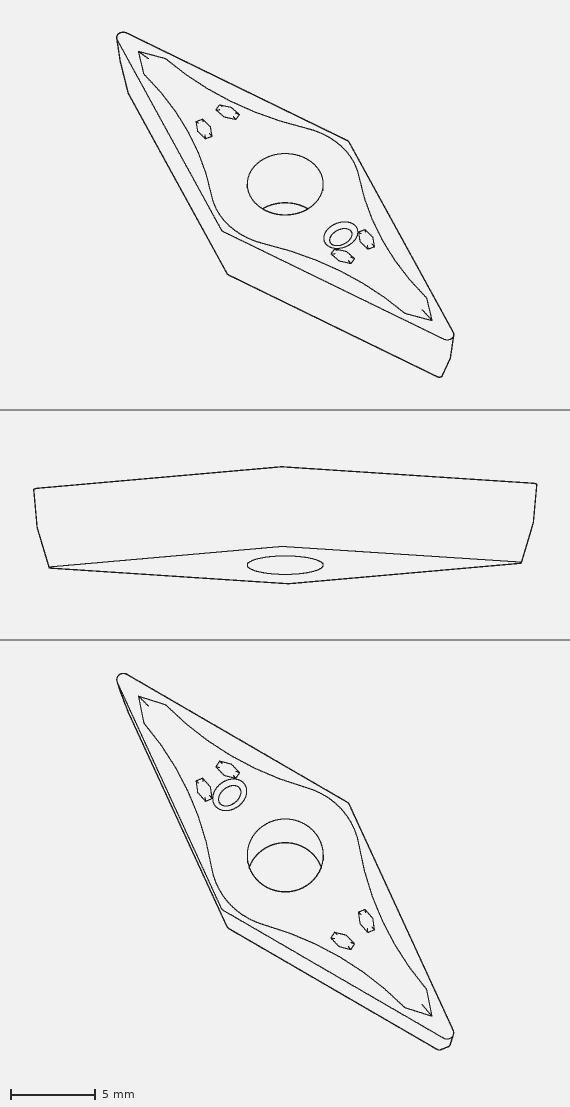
import cadquery as cq
import math


inscribed_circle = 9.525
nose_angle = math.radians(35)
rim_height = 4.7625
clearance_angle = math.radians(5)
corner_radius = 0.398
relief_height = 2.45
hole_diameter = 4.5

plateau_rise = 0.18
plateau_wall_width = 0.43
plateau_edge_radius = 0.25
hub_radius = 4.42
valley_x = -5.9
valley_y = 3.65
tip_distance = 13.16
tip_half_angle = math.radians(30.4)
shoulder_radius = 0.3

overall_height = 5.02
bump_center = (-5.65, 2.76)
bump_half_width = 0.69
bump_side_half_length = 0.21
bump_apex_reach = 0.41
bump_top_scale = 0.68
bump_edge_radius = 0.1

dimple_distance = 4.98
dimple_half_length = 1.10
dimple_half_width = 0.87
dimple_wall_width = 0.35
dimple_depth = 0.2

half_nose = nose_angle / 2
half_nose_deg = math.degrees(half_nose)
plateau_height = rim_height + plateau_rise
long_axis = cq.Vector(math.cos(half_nose), -math.sin(half_nose), 0)
short_axis = cq.Vector(math.sin(half_nose), math.cos(half_nose), 0)


def on_diagonals(along, across, z):
    """Point given along the long diagonal and along the short diagonal."""
    return long_axis * along + short_axis * across + cq.Vector(0, 0, z)


def rounded_rhombus(z, inset, nose_radius):
    """Body section at height z, with every side moved inward by inset."""
    apothem = inscribed_circle / 2 - inset
    half_long = apothem / math.sin(half_nose)
    half_short = apothem / math.cos(half_nose)
    nose_center = half_long - nose_radius / math.sin(half_nose)
    side_center = half_short - corner_radius / math.cos(half_nose)

    def corner(center_along, center_across, radius, direction, half_sweep):
        angles = (direction - half_sweep, direction, direction + half_sweep)
        points = [
            on_diagonals(
                center_along + radius * math.cos(angle),
                center_across + radius * math.sin(angle),
                z,
            )
            for angle in angles
        ]
        return cq.Edge.makeThreePointArc(*points)

    nose_sweep = math.pi / 2 - half_nose
    arcs = [
        corner(nose_center, 0, nose_radius, 0, nose_sweep),
        corner(0, side_center, corner_radius, math.pi / 2, half_nose),
        corner(-nose_center, 0, nose_radius, math.pi, nose_sweep),
        corner(0, -side_center, corner_radius, -math.pi / 2, half_nose),
    ]
    edges = []
    for arc, next_arc in zip(arcs, arcs[1:] + arcs[:1]):
        edges.append(arc)
        edges.append(cq.Edge.makeLine(arc.endPoint(), next_arc.startPoint()))
    return cq.Wire.assembleEdges(edges)


def make_body():
    """Tapered rhombus; the nose is conical above the relief line."""
    relief_inset = (rim_height - relief_height) * math.tan(clearance_angle)
    bottom_inset = rim_height * math.tan(clearance_angle)
    lower_nose_radius = corner_radius - relief_inset
    bottom = rounded_rhombus(0, bottom_inset, lower_nose_radius)
    middle = rounded_rhombus(relief_height, relief_inset, lower_nose_radius)
    top = rounded_rhombus(rim_height, 0, corner_radius)
    lower = cq.Solid.makeLoft([bottom, middle], True)
    upper = cq.Solid.makeLoft([middle, top], True)
    return cq.Workplane(lower).union(cq.Workplane(upper))


def plateau_outline(z, inset):
    """Plateau section: one quarter, mirrored across both diagonals."""
    base_valley_radius = (valley_x**2 + valley_y**2 - hub_radius**2) / (2 * (hub_radius - valley_y))
    valley_center = cq.Vector(valley_x, valley_y + base_valley_radius, 0)
    valley_radius = base_valley_radius + inset
    hub = hub_radius - inset

    tip = long_axis * -(tip_distance - inset / math.sin(tip_half_angle))
    tip_slope = tip_half_angle - half_nose
    tip_direction = cq.Vector(math.cos(tip_slope), math.sin(tip_slope), 0)
    tip_normal = cq.Vector(-math.sin(tip_slope), math.cos(tip_slope), 0)
    line_start = tip - tip_normal * shoulder_radius
    to_valley = valley_center - line_start
    closest = to_valley.dot(tip_direction)
    center_gap = valley_radius + shoulder_radius
    half_chord = math.sqrt(closest**2 - to_valley.Length**2 + center_gap**2)
    shoulder_center = line_start + tip_direction * (closest - half_chord)
    valley_normal = (valley_center - shoulder_center).normalized()
    shoulder_normals = (tip_normal, (tip_normal + valley_normal).normalized(), valley_normal)
    shoulder = [shoulder_center + normal * shoulder_radius for normal in shoulder_normals]

    valley_bottom = valley_center - cq.Vector(0, valley_radius, 0)
    tangent_point = valley_center.normalized() * hub
    crest = cq.Vector(0, hub, 0)
    hub_end = short_axis * hub

    lift = cq.Vector(0, 0, z)
    quarter = [
        cq.Edge.makeLine(tip + lift, shoulder[0] + lift),
        cq.Edge.makeThreePointArc(*[point + lift for point in shoulder]),
        cq.Edge.makeThreePointArc(shoulder[-1] + lift, valley_bottom + lift, tangent_point + lift),
        cq.Edge.makeThreePointArc(tangent_point + lift, crest + lift, hub_end + lift),
    ]

    def flipped(edges, normal):
        def reflect(point):
            return point - normal * (2 * point.dot(normal))

        result_edges = []
        for edge in reversed(edges):
            start = reflect(edge.endPoint())
            end = reflect(edge.startPoint())
            if edge.geomType() == "LINE":
                result_edges.append(cq.Edge.makeLine(start, end))
            else:
                middle = reflect(edge.positionAt(0.5))
                result_edges.append(cq.Edge.makeThreePointArc(start, middle, end))
        return result_edges

    half = quarter + flipped(quarter, long_axis)
    return cq.Wire.assembleEdges(half + flipped(half, short_axis))


def make_plateau():
    """Raised land with sloped walls and a softened upper edge."""
    base = plateau_outline(rim_height, 0)
    top = plateau_outline(plateau_height, plateau_wall_width)
    plateau = cq.Workplane(cq.Solid.makeLoft([base, top], True))
    return plateau.faces(">Z").edges().fillet(plateau_edge_radius)


def make_bump():
    """Hexagonal frustum with a rounded top edge, standing on the plateau."""
    def hexagon(scale):
        half_width = bump_half_width * scale
        side = bump_side_half_length * scale
        apex = bump_apex_reach * scale
        return [
            (half_width, side),
            (0, apex),
            (-half_width, side),
            (-half_width, -side),
            (0, -apex),
            (half_width, -side),
        ]

    return (
        cq.Workplane("XY", origin=(*bump_center, plateau_height))
        .polyline(hexagon(1)).close()
        .workplane(offset=overall_height - plateau_height)
        .polyline(hexagon(bump_top_scale)).close()
        .loft(ruled=True, combine=True)
        .faces(">Z").edges().fillet(bump_edge_radius)
    )


def make_bumps():
    """Four bumps, one beside each concave stretch of the plateau edge."""
    bump = make_bump().val()
    across = bump.rotate(cq.Vector(), cq.Vector(0, 0, 1), half_nose_deg)
    across = across.mirror("XZ").rotate(cq.Vector(), cq.Vector(0, 0, 1), -half_nose_deg)
    bumps = []
    for shape in (bump, across):
        for turn in (0, 180):
            bumps.append(shape.rotate(cq.Vector(), cq.Vector(0, 0, 1), turn))
    return bumps


def make_dimple():
    """Oval recess with sloped walls, its length across the long diagonal."""
    center = on_diagonals(dimple_distance, 0, plateau_height)
    plane = cq.Plane(center, short_axis, (0, 0, -1))
    return (
        cq.Workplane(plane)
        .ellipse(dimple_half_length, dimple_half_width)
        .workplane(offset=dimple_depth)
        .ellipse(dimple_half_length - dimple_wall_width, dimple_half_width - dimple_wall_width)
        .loft(ruled=True, combine=True)
    )


hole = cq.Workplane("XY").circle(hole_diameter / 2).extrude(overall_height)

result = make_body().union(make_plateau()).cut(make_dimple()).cut(hole)
for bump in make_bumps():
    result = result.union(cq.Workplane(bump))